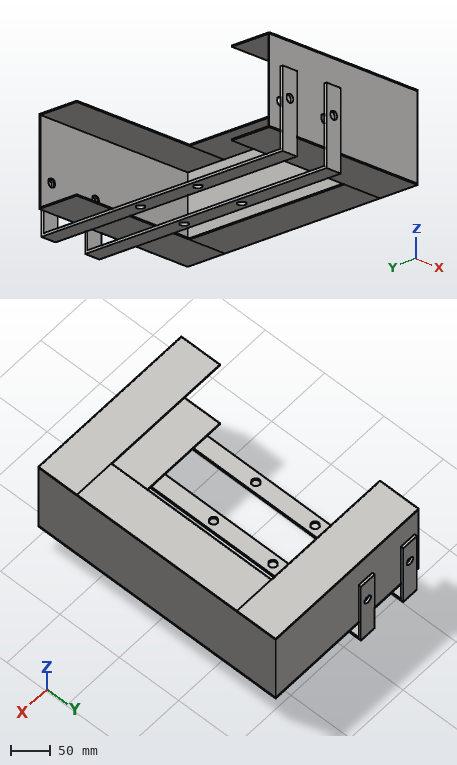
import cadquery as cq

frame_depth = 270.0
frame_width = 400.0
frame_height = 129.0
flange_width = 65.0
sheet = 2.0

strap_span = 420.0
strap_height = 116.0
strap_width = 26.0
strap_thickness = 4.0
strap_pitch = 80.0
strap_inset = 7.5
strap_drop = 34.5

hole_diameter = 12.0
floor_hole_pitch = 100.0
side_hole_height = 75.0

strap_half = strap_span / 2
frame_back_y = strap_half - strap_thickness
frame_front_y = frame_back_y - frame_width
frame_top = strap_drop + frame_height
back_x = frame_depth - sheet
strap_starts = [strap_inset + i * strap_pitch for i in range(2)]


def block(x0, x1, y0, y1, z0, z1):
    """Box between two opposite corners."""
    return cq.Workplane("XY").box(x1 - x0, y1 - y0, z1 - z0, centered=False).translate((x0, y0, z0))


def cut_side_holes(body):
    """Bore along Y on the middle of each strap."""
    for start in strap_starts:
        drill = cq.Solid.makeCylinder(
            hole_diameter / 2,
            2 * strap_span,
            cq.Vector(start + strap_width / 2, -strap_span, side_hole_height),
            cq.Vector(0, 1, 0),
        )
        body = body.cut(cq.Workplane(obj=drill))
    return body


def make_wall_band():
    """Two side walls and the back wall, bent from one sheet, between the flanges."""
    z0 = strap_drop + sheet
    z1 = frame_top - sheet
    outer = block(0, frame_depth, frame_front_y, frame_back_y, z0, z1)
    inner = block(0, back_x, frame_front_y + sheet, frame_back_y - sheet, z0, z1)
    return cut_side_holes(outer.cut(inner))


def make_strap(start):
    """U-shaped strap with two floor holes and one hole in each leg."""
    end = start + strap_width
    inside = strap_half - strap_thickness
    outer = block(start, end, -strap_half, strap_half, 0, strap_height)
    strap = outer.cut(block(start, end, -inside, inside, strap_thickness, strap_height))
    for side in (-1, 1):
        drill = cq.Solid.makeCylinder(
            hole_diameter / 2,
            strap_thickness,
            cq.Vector(start + strap_width / 2, side * floor_hole_pitch / 2, 0),
        )
        strap = strap.cut(cq.Workplane(obj=drill))
    return cut_side_holes(strap)


def make_flanges(z):
    """Two side strips and the back strip between them, at one level."""
    front_inner_y = frame_front_y + flange_width
    back_inner_y = frame_back_y - flange_width
    return [
        block(0, frame_depth, frame_front_y, front_inner_y, z, z + sheet),
        block(0, frame_depth, back_inner_y, frame_back_y, z, z + sheet),
        block(frame_depth - flange_width, frame_depth, front_inner_y, back_inner_y, z, z + sheet),
    ]


wall_band = make_wall_band()
flanges = make_flanges(strap_drop) + make_flanges(frame_top - sheet)
straps = [make_strap(start) for start in strap_starts]

result = cq.Compound.makeCompound([body.val() for body in [wall_band, *flanges, *straps]])